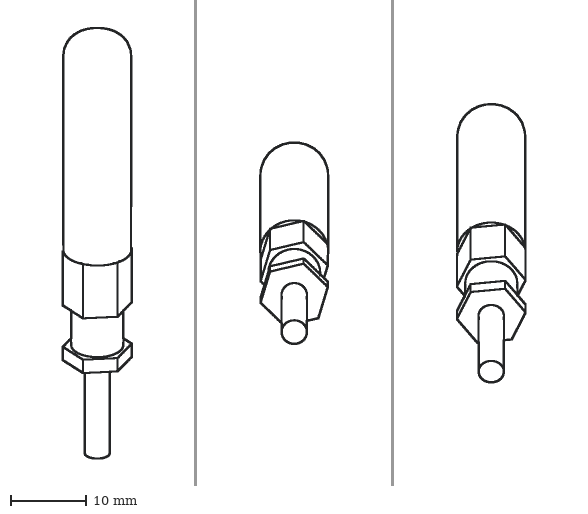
import cadquery as cq
import math

total_height = 62.25
cable_length = 14.05
nut_height = 2.0
neck_length = 6.15
collar_height = 8.0

cable_diameter = 3.35
neck_diameter = 6.9
body_diameter = 9.0
hex_across_flats = 7.95
dome_radius = 3.0

hex_across_corners = hex_across_flats / math.cos(math.pi / 6)
nut_bottom = cable_length
neck_bottom = nut_bottom + nut_height
collar_bottom = neck_bottom + neck_length
body_bottom = collar_bottom + collar_height
body_length = total_height - body_bottom


def cylinder(diameter, bottom, height):
    return cq.Workplane("XY").workplane(offset=bottom).circle(diameter / 2).extrude(height)


def hexagon(bottom, height):
    """Hexagonal prism with two opposite corners on the Y axis."""
    prism = cq.Workplane("XY").workplane(offset=bottom).polygon(6, hex_across_corners).extrude(height)
    return prism.rotate((0, 0, 0), (0, 0, 1), 90)


cable = cylinder(cable_diameter, 0, cable_length)
nut = hexagon(nut_bottom, nut_height)
neck = cylinder(neck_diameter, neck_bottom, neck_length)
collar = hexagon(collar_bottom, collar_height)

body = cylinder(body_diameter, body_bottom, body_length).faces(">Z").edges().fillet(dome_radius)

result = cable.union(nut).union(neck).union(collar).union(body)